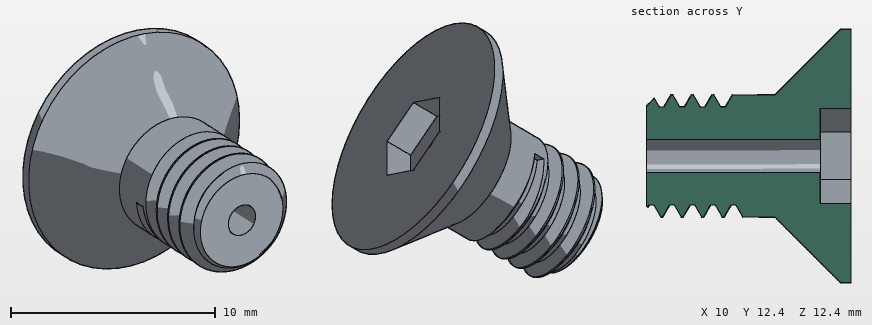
import cadquery as cq
import math

length = 10.0
head_radius = 6.2
rim_thickness = 0.52
shank_radius = 3.0
cone_end = rim_thickness + head_radius - shank_radius

hex_across_flats = 4.0
hex_depth = 1.5
bore_diameter = 1.6

pitch = length / 10
root_radius = 2.4
root_width = 0.22
flank_slope = math.tan(math.radians(30))
groove_position = 5.75
lead_in_start = -87
lead_in_end = -27
lead_in_sections = 5
start_depth_fraction = 0.5
crest_clearance = 0.1
groove_turns = 5
tip_radius = 2.44
tip_chamfer = shank_radius - tip_radius


def make_body():
    """Revolve the countersunk head, shank and chamfered tip about X."""
    return (
        cq.Workplane("XY")
        .moveTo(0, 0)
        .lineTo(0, head_radius)
        .lineTo(rim_thickness, head_radius)
        .lineTo(cone_end, shank_radius)
        .lineTo(length - tip_chamfer, shank_radius)
        .lineTo(length, tip_radius)
        .lineTo(length, 0)
        .close()
        .revolve(360, (0, 0, 0), (1, 0, 0))
    )


def make_socket():
    """Hexagonal pocket with corners pointing along Z."""
    corner_diameter = hex_across_flats / math.cos(math.radians(30))
    return cq.Workplane("YZ").polygon(6, corner_diameter).extrude(hex_depth).rotate(
        (0, 0, 0), (1, 0, 0), 90
    )


def groove_section(angle, depth_fraction):
    """Trapezoidal groove outline in the radial plane at an angle about Z."""
    turn = math.radians(angle)
    centre = groove_position + pitch * angle / 360
    bottom = shank_radius - depth_fraction * (shank_radius - root_radius)
    top = shank_radius + crest_clearance
    half_root = root_width / 2
    half_top = half_root + (top - bottom) * flank_slope
    outline = [
        (bottom, centre - half_root),
        (bottom, centre + half_root),
        (top, centre + half_top),
        (top, centre - half_top),
    ]
    corners = [cq.Vector(r * math.cos(turn), r * math.sin(turn), z) for r, z in outline]
    return cq.Wire.makePolygon(corners, close=True)


def make_lead_in():
    """Short groove that deepens steadily until it meets the full thread."""
    sections = []
    for index in range(lead_in_sections):
        progress = index / (lead_in_sections - 1)
        angle = lead_in_start + progress * (lead_in_end - lead_in_start)
        depth_fraction = start_depth_fraction + progress * (1 - start_depth_fraction)
        sections.append(groove_section(angle, depth_fraction))
    return cq.Solid.makeLoft(sections)


def make_full_groove():
    """Full depth helical groove that runs out past the tip."""
    start = groove_position + pitch * lead_in_end / 360
    helix = cq.Wire.makeHelix(pitch, groove_turns * pitch, root_radius)
    helix = helix.rotate(cq.Vector(), cq.Vector(0, 0, 1), lead_in_end)
    helix = helix.translate(cq.Vector(0, 0, start))
    return cq.Solid.sweep(groove_section(lead_in_end, 1), [], helix, isFrenet=True)


def along_x(cutter):
    """Turn a cutter built around Z so that its axis becomes X."""
    return cq.Workplane(cutter.rotate(cq.Vector(), cq.Vector(0, 1, 0), 90))


bore = cq.Workplane("YZ").circle(bore_diameter / 2).extrude(length)

result = make_body().cut(make_socket()).cut(bore)
result = result.cut(along_x(make_full_groove()))
result = result.cut(along_x(make_lead_in()))